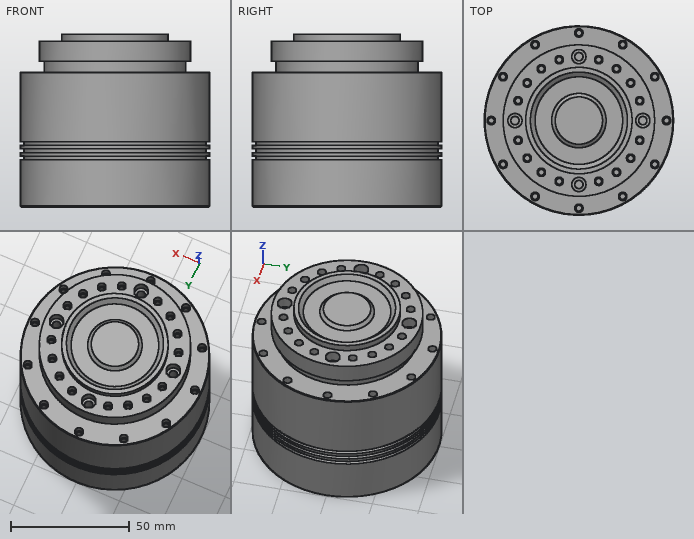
import cadquery as cq
import math

housing_diameter = 80.0
housing_height = 57.0
housing_bottom_chamfer = 0.5
housing_top_chamfer = 0.3

groove_count = 3
groove_width = 1.5
groove_diameter = 77.0
lowest_groove_z = 20.0
groove_pitch = 2 * groove_width

neck_diameter = 60.0
neck_height = 4.5
flange_diameter = 64.0
flange_height = 8.5
pilot_diameter = 45.0
pilot_height = 3.0
flange_top_z = housing_height + neck_height + flange_height
hub_top_z = flange_top_z + pilot_height

recess_top_diameter = 41.0
recess_floor_diameter = 37.0
recess_depth = (recess_top_diameter - recess_floor_diameter) / 2
recess_floor_z = hub_top_z - recess_depth
boss_base_diameter = 23.0
boss_top_diameter = 20.0
boss_height = (boss_base_diameter - boss_top_diameter) / 2

screw_mouth_diameter = 3.5
screw_mouth_depth = 4.0
screw_bore_diameter = 2.5
screw_depth = 8.0
housing_screw_count = 12
housing_screw_circle_radius = 37.0

flange_place_count = 20
flange_place_step = 5
flange_hole_circle_radius = 27.0
counterbore_diameter = 6.0
counterbore_depth = 5.0
mounting_bore_diameter = 3.5
mounting_hole_depth = neck_height + flange_height


def disc(diameter, bottom_z, height):
    """Solid cylinder on the Z axis."""
    return cq.Workplane("XY").workplane(offset=bottom_z).circle(diameter / 2).extrude(height)


def frustum(bottom_diameter, top_diameter, bottom_z, height):
    """Solid truncated cone on the Z axis."""
    return cq.Workplane(
        cq.Solid.makeCone(bottom_diameter / 2, top_diameter / 2, height, cq.Vector(0, 0, bottom_z))
    )


def places_on_circle(radius, count, indices):
    """XY positions of the chosen indices among equal divisions of a circle."""
    angles = [2 * math.pi * index / count for index in indices]
    return [(radius * math.cos(angle), radius * math.sin(angle)) for angle in angles]


def stepped_holes(places, top_z, mouth_diameter, mouth_depth, bore_diameter, total_depth):
    """Cutting tools for stepped holes that run down from top_z."""
    plane = cq.Workplane("XY").workplane(offset=top_z).pushPoints(places)
    mouths = plane.circle(mouth_diameter / 2).extrude(-mouth_depth)
    bores = plane.circle(bore_diameter / 2).extrude(-total_depth)
    return mouths.union(bores)


def screw_holes(places, top_z):
    return stepped_holes(
        places, top_z, screw_mouth_diameter, screw_mouth_depth, screw_bore_diameter, screw_depth
    )


def make_housing():
    body = disc(housing_diameter, 0, housing_height)
    body = body.faces("<Z").edges().chamfer(housing_bottom_chamfer)
    body = body.faces(">Z").edges().chamfer(housing_top_chamfer)

    for index in range(groove_count):
        groove_z = lowest_groove_z + index * groove_pitch
        groove = disc(housing_diameter, groove_z, groove_width)
        groove = groove.cut(disc(groove_diameter, groove_z, groove_width))
        body = body.cut(groove)

    places = places_on_circle(
        housing_screw_circle_radius, housing_screw_count, range(housing_screw_count)
    )
    return body.cut(screw_holes(places, housing_height))


def make_output_hub():
    body = disc(neck_diameter, housing_height, neck_height)
    body = body.union(disc(flange_diameter, housing_height + neck_height, flange_height))
    body = body.union(disc(pilot_diameter, flange_top_z, pilot_height))

    body = body.cut(
        frustum(recess_floor_diameter, recess_top_diameter, recess_floor_z, recess_depth)
    )
    body = body.union(frustum(boss_base_diameter, boss_top_diameter, recess_floor_z, boss_height))

    mounting_indices = range(0, flange_place_count, flange_place_step)
    screw_indices = [i for i in range(flange_place_count) if i not in mounting_indices]
    screw_places = places_on_circle(flange_hole_circle_radius, flange_place_count, screw_indices)
    mounting_places = places_on_circle(
        flange_hole_circle_radius, flange_place_count, mounting_indices
    )
    body = body.cut(screw_holes(screw_places, flange_top_z))
    mounting_holes = stepped_holes(
        mounting_places,
        flange_top_z,
        counterbore_diameter,
        counterbore_depth,
        mounting_bore_diameter,
        mounting_hole_depth,
    )
    return body.cut(mounting_holes)


housing = make_housing()
output_hub = make_output_hub()

result = cq.Compound.makeCompound([housing.solids().val(), output_hub.solids().val()])